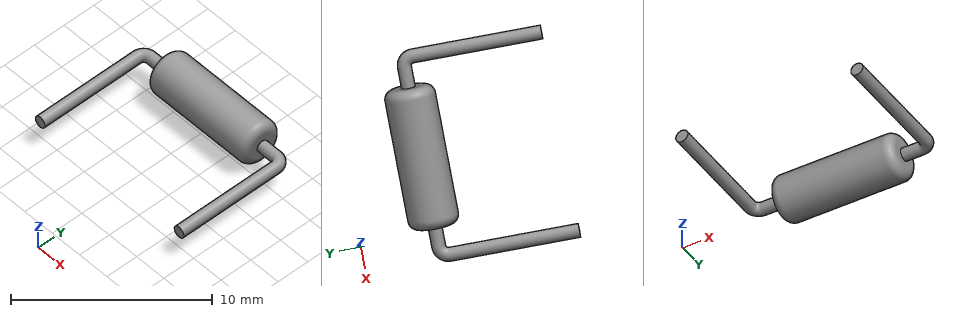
import cadquery as cq

overall_length = 10.86
overall_depth = 8.28
body_diameter = 2.55
body_length = 7.12
body_edge_radius = 0.49
wire_diameter = 0.71
bend_radius = 0.49

lead_x = (overall_length - wire_diameter) / 2
lead_end_y = body_diameter / 2 - overall_depth


def make_body():
    end_face = cq.Workplane("YZ", origin=(-body_length / 2, 0, 0))
    cylinder = end_face.circle(body_diameter / 2).extrude(body_length)
    return cylinder.faces("<X or >X").edges().fillet(body_edge_radius)


def make_lead():
    """Lead on the +X side, starting at the centre of the body."""
    bend_start_x = lead_x - bend_radius
    axial = cq.Workplane("YZ").circle(wire_diameter / 2).extrude(bend_start_x)
    bend = (
        cq.Workplane("YZ", origin=(bend_start_x, 0, 0))
        .circle(wire_diameter / 2)
        .revolve(90, (-bend_radius, 0), (-bend_radius, -1))
    )
    leg = (
        cq.Workplane("XZ", origin=(lead_x, -bend_radius, 0))
        .circle(wire_diameter / 2)
        .extrude(-lead_end_y - bend_radius)
    )
    return axial.union(bend).union(leg)


lead = make_lead()
result = make_body().union(lead).union(lead.mirror("YZ"))